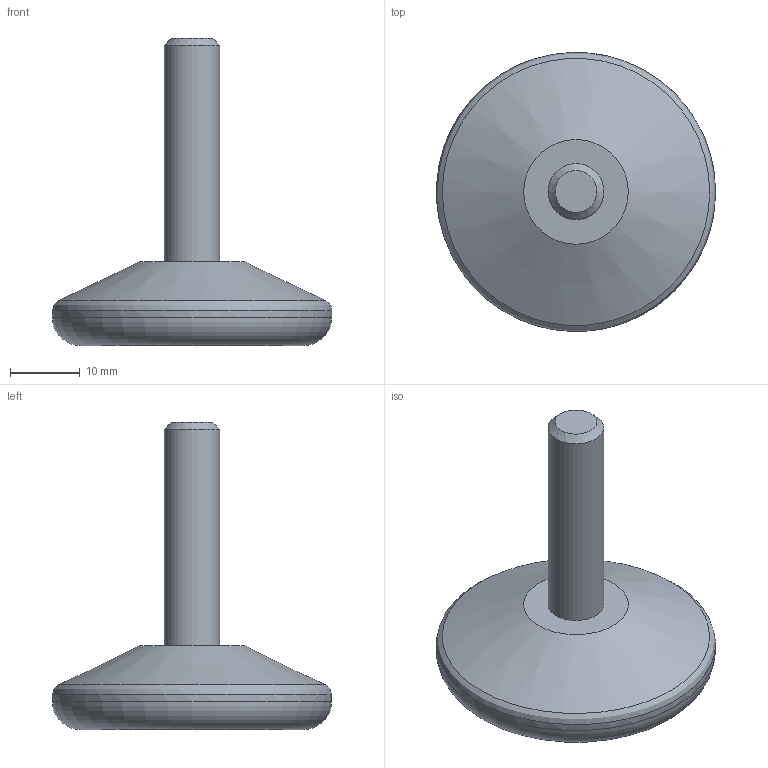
import cadquery as cq

foot_diameter = 40.0
foot_height = 12.0
rim_height = 6.0
land_diameter = 15.0
bottom_round = 4.0
shoulder_round = 1.5

stud_diameter = 8.0
stud_chamfer = 1.0
total_height = 44.0


def make_foot():
    """Revolved foot with a straight rim, a conical top and both rim edges rounded."""
    foot_radius = foot_diameter / 2
    foot = (
        cq.Workplane("XZ")
        .moveTo(0, 0)
        .lineTo(foot_radius, 0)
        .lineTo(foot_radius, rim_height)
        .lineTo(land_diameter / 2, foot_height)
        .lineTo(0, foot_height)
        .close()
        .revolve(360, (0, 0, 0), (0, 1, 0))
    )
    foot = foot.faces("<Z").edges().fillet(bottom_round)

    return foot.faces("%CYLINDER").edges(">Z").fillet(shoulder_round)


def make_stud():
    """Upright stud standing on the land of the foot, with a chamfered tip."""
    return (
        cq.Workplane("XY")
        .workplane(offset=foot_height)
        .circle(stud_diameter / 2)
        .extrude(total_height - foot_height)
        .faces(">Z")
        .chamfer(stud_chamfer)
    )


result = make_foot().union(make_stud())